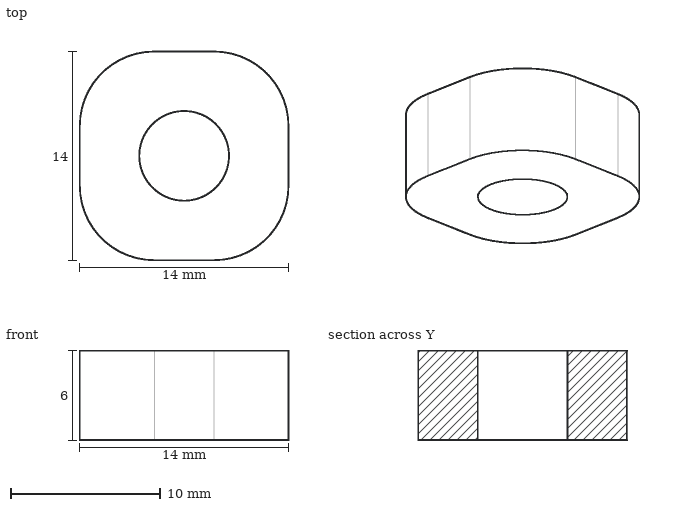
import cadquery as cq

side = 14.0
height = 6.0
corner_radius = 5.0
bore_diameter = 6.0


def rounded_block():
    """Square block standing on Z = 0 with rounded vertical corners."""
    block = cq.Workplane("XY").rect(side, side).extrude(height)
    return block.edges("|Z").fillet(corner_radius)


def cut_bore(body):
    """Round bore through the centre, along Z."""
    return body.faces(">Z").workplane().hole(bore_diameter)


result = cut_bore(rounded_block())